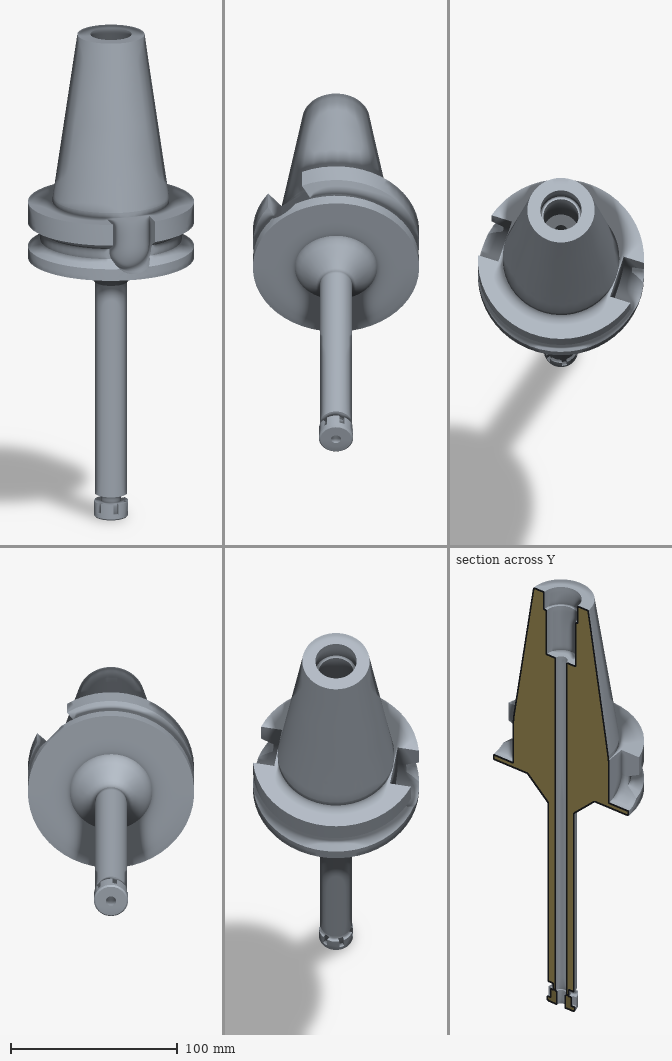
import cadquery as cq

total_height = 301.8
gauge_z = 200.0
flange_top = 197.0
flange_bottom = 162.0
shank_bottom = 14.5
nut_height = 10.0

taper_top_radius = 20.2
taper_base_radius = 35.0
flange_diameter = 100.0
flange_radius = flange_diameter / 2
groove_radius = 42.5
upper_rim_height = 13.0
lower_rim_height = 7.2
groove_bevel_height = 4.2

cone_top_radius = 24.7
shank_radius = 9.7
neck_radius = 6.0

mouth_radius = 12.5
mouth_depth = 12.7
thread_bore_radius = 10.5
thread_bore_depth = 45.3
coolant_radius = 4.0

drive_slot_width = 26.3
drive_slot_floor = 35.3
drive_slot_depth = 31.5

nut_radius = 10.3
nut_hole_radius = 3.0
nut_chamfer = 1.0
wrench_slot_count = 6
wrench_slot_width = 3.0
wrench_slot_depth = 2.5
wrench_slot_bottom = 3.5


def revolve_holder_profile():
    """Solid of revolution: neck, shank, cone, grooved flange and taper."""
    cone_height = cone_top_radius - shank_radius
    lower_rim_top = flange_bottom + lower_rim_height
    upper_rim_bottom = flange_top - upper_rim_height
    return (
        cq.Workplane("XZ")
        .polyline([
            (0, nut_height),
            (neck_radius, nut_height),
            (neck_radius, shank_bottom),
            (shank_radius, shank_bottom),
            (shank_radius, flange_bottom - cone_height),
            (cone_top_radius, flange_bottom),
            (flange_radius, flange_bottom),
            (flange_radius, lower_rim_top),
            (groove_radius, lower_rim_top + groove_bevel_height),
            (groove_radius, upper_rim_bottom - groove_bevel_height),
            (flange_radius, upper_rim_bottom),
            (flange_radius, flange_top),
            (taper_base_radius, flange_top),
            (taper_base_radius, gauge_z),
            (taper_top_radius, total_height),
            (0, total_height),
        ])
        .close()
        .revolve(360, (0, 0, 0), (0, 1, 0))
    )


def cut_axial_bores(body):
    """Cut the mouth, the threaded bore and the coolant hole from the top."""
    bores = [
        (mouth_radius, mouth_depth),
        (thread_bore_radius, thread_bore_depth),
        (coolant_radius, total_height),
    ]
    for radius, depth in bores:
        bore = cq.Workplane("XY", origin=(0, 0, total_height)).circle(radius).extrude(-depth)
        body = body.cut(bore)
    return body


def make_drive_slot(side):
    """Round-bottomed slot cutter, open at the flange top; side is -1 or 1."""
    half_width = drive_slot_width / 2
    bottom = flange_top - drive_slot_depth
    arc_center_z = bottom + half_width
    return (
        cq.Workplane("YZ", origin=(side * drive_slot_floor, 0, 0))
        .moveTo(-half_width, flange_top)
        .lineTo(-half_width, arc_center_z)
        .threePointArc((0, bottom), (half_width, arc_center_z))
        .lineTo(half_width, flange_top)
        .close()
        .extrude(side * flange_radius)
    )


def make_holder():
    body = cut_axial_bores(revolve_holder_profile())
    for side in (-1, 1):
        body = body.cut(make_drive_slot(side))
    return body


def make_wrench_slot(angle):
    """Slot cutter at the rim of the nut, open at its top and outer side."""
    slot_height = nut_height - wrench_slot_bottom
    floor_radius = nut_radius - wrench_slot_depth
    return (
        cq.Workplane("XY")
        .box(nut_radius, wrench_slot_width, slot_height, centered=(False, True, False))
        .translate((floor_radius, 0, wrench_slot_bottom))
        .rotate((0, 0, 0), (0, 0, 1), angle)
    )


def make_nut():
    nut = (
        cq.Workplane("XY")
        .circle(nut_radius)
        .extrude(nut_height)
        .faces("<Z").edges().chamfer(nut_chamfer)
    )
    nut = nut.cut(cq.Workplane("XY").circle(nut_hole_radius).extrude(nut_height))
    for index in range(wrench_slot_count):
        nut = nut.cut(make_wrench_slot(index * 360 / wrench_slot_count))
    return nut


holder = make_holder()
clamping_nut = make_nut()

result = cq.Compound.makeCompound([holder.val(), clamping_nut.val()])